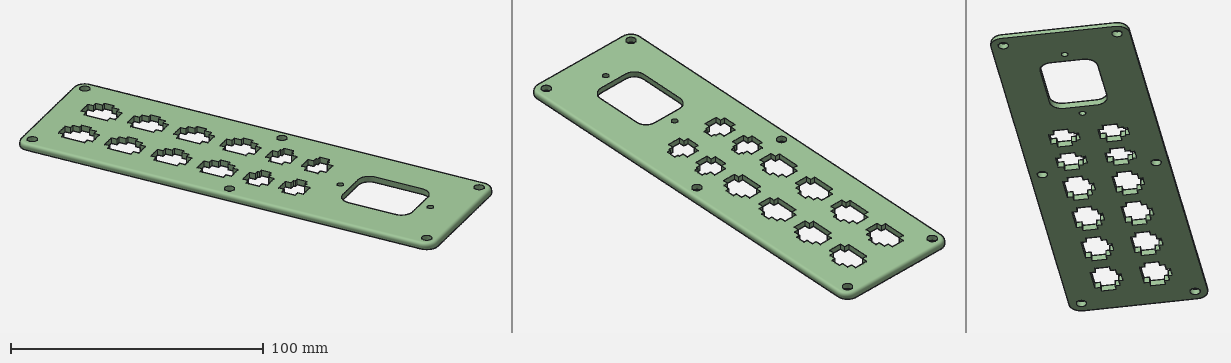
import cadquery as cq

length = 185.0
width = 55.7
thickness = 2.5
corner_radius = 5.0
edge_round = 1.5

mount_hole_diameter = 4.0
mount_x = length / 2 - corner_radius
mount_y = width / 2 - corner_radius

row_spacing = 19.8
wide_jack_width = 15.2
wide_jack_body_width = 10.4
wide_jack_first_x = -73.0
wide_jack_pitch = 20.5
wide_jack_count = 4
narrow_jack_width = 11.0
narrow_jack_body_width = 6.0
narrow_jack_first_x = 6.7
narrow_jack_pitch = 16.0
narrow_jack_count = 2

key_width = 4.3
key_top = 6.0
body_top = 4.3
wing_top = 2.2
wing_bottom = -3.7
body_bottom = -6.0

inlet_x = 57.5
inlet_length = 30.9
inlet_width = 23.1
inlet_corner_radius = 5.0
inlet_hole_diameter = 2.5
inlet_hole_spacing = 40.0


def make_plate():
    """Rounded plate, with its top edge rounded over."""
    plate = cq.Workplane("XY").box(length, width, thickness, centered=(True, True, False))
    plate = plate.edges("|Z").fillet(corner_radius)
    return plate.faces(">Z").edges().fillet(edge_round)


def make_cutter(x, bottom, top, block_width):
    """Block through the plate, centred on x and spanning bottom to top in Y."""
    block = cq.Workplane("XY").box(block_width, top - bottom, thickness, centered=(True, False, False))
    return block.translate((x, bottom, 0))


def make_jack(x, y, full_width, body_width):
    """Jack opening: a body with side wings and a narrow key above it."""
    body = make_cutter(x, y + body_bottom, y + body_top, body_width)
    wings = make_cutter(x, y + wing_bottom, y + wing_top, full_width)
    key = make_cutter(x, y + body_bottom, y + key_top, key_width)
    return body.union(wings).union(key)


def cut_jack_group(plate, first_x, pitch, count, full_width, body_width):
    """Cut evenly spaced jack openings in both rows."""
    for row_y in (-row_spacing / 2, row_spacing / 2):
        for index in range(count):
            jack = make_jack(first_x + index * pitch, row_y, full_width, body_width)
            plate = plate.cut(jack)
    return plate


def make_through_holes(points, diameter):
    """Round cutters through the plate at the given points."""
    return cq.Workplane("XY").pushPoints(points).circle(diameter / 2).extrude(thickness)


def make_inlet():
    """Power inlet opening with rounded corners."""
    opening = cq.Workplane("XY").rect(inlet_length, inlet_width).extrude(thickness)
    return opening.edges("|Z").fillet(inlet_corner_radius).translate((inlet_x, 0, 0))


mount_points = [(x, y) for x in (-mount_x, 0, mount_x) for y in (-mount_y, mount_y)]
inlet_hole_points = [(inlet_x + side * inlet_hole_spacing / 2, 0) for side in (-1, 1)]

result = make_plate()
result = result.cut(make_through_holes(mount_points, mount_hole_diameter))
result = cut_jack_group(
    result, wide_jack_first_x, wide_jack_pitch, wide_jack_count,
    wide_jack_width, wide_jack_body_width,
)
result = cut_jack_group(
    result, narrow_jack_first_x, narrow_jack_pitch, narrow_jack_count,
    narrow_jack_width, narrow_jack_body_width,
)
result = result.cut(make_inlet())
result = result.cut(make_through_holes(inlet_hole_points, inlet_hole_diameter))